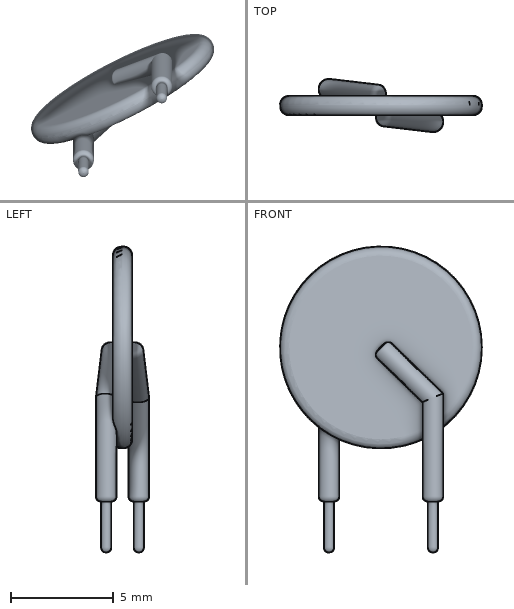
import cadquery as cq

DISC_DIAMETER = 9.9
DISC_THICKNESS = 0.96
DISC_EDGE_RADIUS = 0.45

LEAD_PITCH = 5.09
LEAD_ROW_OFFSET = 0.8
BEND_DEPTH = 2.48
ARM_TIP_OFFSET = 0.5
COATING_DIAMETER = 1.02
COATING_END_RADIUS = 0.25

OVERALL_HEIGHT = 15.0
WIRE_DIAMETER = 0.51
WIRE_LENGTH = 2.5
WIRE_END_RADIUS = 0.25

LEG_X = LEAD_PITCH / 2
BEND_Z = -BEND_DEPTH
WIRE_BOTTOM_Z = DISC_DIAMETER / 2 - OVERALL_HEIGHT
COATING_BOTTOM_Z = WIRE_BOTTOM_Z + WIRE_LENGTH


def make_disc():
    """Round disc with rounded rims and a narrow flat band between them."""
    return (
        cq.Workplane("XZ")
        .circle(DISC_DIAMETER / 2)
        .extrude(DISC_THICKNESS / 2, both=True)
        .edges()
        .fillet(DISC_EDGE_RADIUS)
    )


def make_coating():
    """Coated rod with a mitred bend, rounded at both ends."""
    leg_bottom = (LEG_X, -LEAD_ROW_OFFSET, COATING_BOTTOM_Z)
    bend = (LEG_X, -LEAD_ROW_OFFSET, BEND_Z)
    arm_tip = (0, -ARM_TIP_OFFSET, 0)
    path = cq.Workplane("XY").polyline([leg_bottom, bend, arm_tip])
    rod = (
        cq.Workplane(cq.Plane(origin=leg_bottom, xDir=(0, 1, 0), normal=(0, 0, 1)))
        .circle(COATING_DIAMETER / 2)
        .sweep(path, transition="right")
    )
    return rod.edges("%CIRCLE").fillet(COATING_END_RADIUS)


def make_wire():
    """Bare wire with a domed lower end, running from the coating downwards."""
    return (
        cq.Workplane("XY", origin=(LEG_X, -LEAD_ROW_OFFSET, WIRE_BOTTOM_Z))
        .circle(WIRE_DIAMETER / 2)
        .extrude(WIRE_LENGTH)
        .faces("<Z")
        .edges()
        .fillet(WIRE_END_RADIUS)
    )


front_lead = make_coating().union(make_wire())
back_lead = front_lead.rotate((0, 0, 0), (0, 0, 1), 180)

result = make_disc().union(front_lead).union(back_lead)